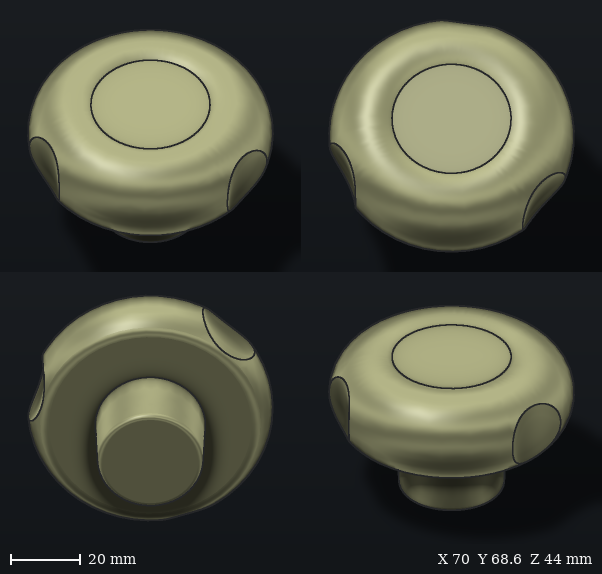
import cadquery as cq
import math

head_radius = 35.0
ring_radius = 13.0
ring_center = head_radius - ring_radius
dish_radius = 17.0
head_height = 23.0
edge_radius = 3.5

stem_height = 21.0
stem_top_radius = 15.75
stem_bottom_radius = 15.05
stem_fillet = 1.5

scoop_diameter = 50.0
scoop_depth = 3.5
scoop_count = 3
first_scoop_angle = -90.0

ring_z = head_height - ring_radius
dish_z = ring_z + math.sqrt(ring_radius**2 - (ring_center - dish_radius) ** 2)
edge_center_reach = math.sqrt((ring_radius - edge_radius) ** 2 - (ring_z - edge_radius) ** 2)
base_radius = ring_center + edge_center_reach


def point_on_arc(center, radius, direction):
    """Point of a circle that lies from its center along a unit direction."""
    return (center[0] + radius * direction[0], center[1] + radius * direction[1])


def make_head():
    ring_middle = (ring_center, ring_z)
    edge_middle = (base_radius, edge_radius)
    tangent = (
        edge_center_reach / (ring_radius - edge_radius),
        (edge_radius - ring_z) / (ring_radius - edge_radius),
    )
    half_angle = (math.atan2(tangent[1], tangent[0]) - math.pi / 2) / 2
    edge_direction = (math.cos(half_angle), math.sin(half_angle))
    return (
        cq.Workplane("XZ")
        .lineTo(base_radius, 0)
        .threePointArc(
            point_on_arc(edge_middle, edge_radius, edge_direction),
            point_on_arc(ring_middle, ring_radius, tangent),
        )
        .threePointArc((head_radius, ring_z), (dish_radius, dish_z))
        .lineTo(0, dish_z)
        .close()
        .revolve(360, (0, 0, 0), (0, 1, 0))
    )


def make_stem():
    return (
        cq.Workplane("XY")
        .workplane(offset=-stem_height)
        .circle(stem_bottom_radius)
        .workplane(offset=stem_height)
        .circle(stem_top_radius)
        .loft()
        .faces("<Z")
        .edges()
        .fillet(stem_fillet)
    )


def make_scoops():
    scoop_distance = head_radius - scoop_depth + scoop_diameter / 2
    return (
        cq.Workplane("XY")
        .polarArray(scoop_distance, first_scoop_angle, 360, scoop_count)
        .circle(scoop_diameter / 2)
        .extrude(head_height)
    )


result = make_head().cut(make_scoops()).union(make_stem())